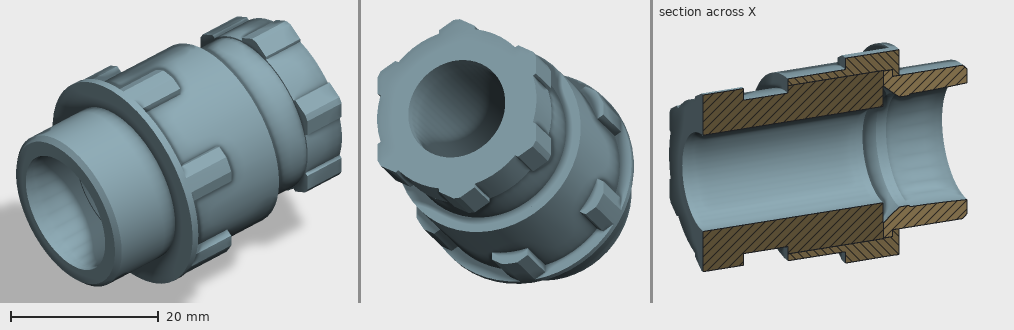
import cadquery as cq
import math

OVERALL_LENGTH = 39.02
NECK_RADIUS = 11.25
THREAD_RADIUS = 12.25
JOINT = 12.4

TAIL_CHAMFER = 0.65
SOCKET_MOUTH_RADIUS = 8.5
SOCKET_END_RADIUS = 8.2
SOCKET_DEPTH = 8.5
STOP_RADIUS = 8.0
STOP_WIDTH = 1.5
FLARE_RADIUS = 10.0

FLANGE_START = SOCKET_DEPTH + STOP_WIDTH
FLANGE_THICKNESS = 1.0
FLANGE_RADIUS = 15.0
BARREL_RADIUS = 13.33
NUT_LENGTH = 16.5
RIB_LENGTH = 7.0

BORE_RADIUS = 7.0
HEAD_LENGTH = 6.0
HEAD_RADIUS = 11.5
TOOTH_TIP_RADIUS = 12.93

RIDGE_COUNT = 6
RIDGE_WIDTH = 5.13
ROOF_ANGLE = 30.0
RIB_APEX = 15.58
TOOTH_APEX = 13.19

nut_shoulder = FLANGE_START + FLANGE_THICKNESS
nut_end = FLANGE_START + NUT_LENGTH
head_start = OVERALL_LENGTH - HEAD_LENGTH


def rod(radius, start, end):
    """Solid cylinder on the Y axis between two Y positions."""
    return cq.Workplane("XZ", origin=(0, start, 0)).circle(radius).extrude(start - end)


def ridges(apex, tip_radius, start, end):
    """Ring of axial ridges, each with a pitched roof whose peak is rounded off at the tip radius."""
    half_width = RIDGE_WIDTH / 2
    eaves = apex - half_width * math.tan(math.radians(ROOF_ANGLE))
    outline = [
        (-half_width, 0),
        (half_width, 0),
        (half_width, eaves),
        (0, apex),
        (-half_width, eaves),
    ]
    ridge = cq.Workplane("XZ", origin=(0, start, 0)).polyline(outline).close().extrude(start - end)
    ring = ridge
    for index in range(1, RIDGE_COUNT):
        ring = ring.union(ridge.rotate((0, 0, 0), (0, 1, 0), index * 360 / RIDGE_COUNT))
    return ring.intersect(rod(tip_radius, start, end))


def make_tail_piece():
    """Chamfered spigot with a stepped bore; its collar bears on the nut's shoulder."""
    wall = [
        (SOCKET_MOUTH_RADIUS, 0),
        (NECK_RADIUS - TAIL_CHAMFER, 0),
        (NECK_RADIUS, TAIL_CHAMFER),
        (NECK_RADIUS, nut_shoulder),
        (THREAD_RADIUS, nut_shoulder),
        (THREAD_RADIUS, JOINT),
        (FLARE_RADIUS, JOINT),
        (STOP_RADIUS, SOCKET_DEPTH + STOP_WIDTH),
        (STOP_RADIUS, SOCKET_DEPTH),
        (SOCKET_END_RADIUS, SOCKET_DEPTH),
    ]
    return cq.Workplane("XY").polyline(wall).close().revolve(360, (0, 0, 0), (0, 1, 0))


def make_union_nut():
    """Flanged, ribbed barrel that holds the tail collar against the threaded piece."""
    nut = rod(BARREL_RADIUS, FLANGE_START, nut_end)
    nut = nut.union(rod(FLANGE_RADIUS, FLANGE_START, nut_shoulder))
    nut = nut.union(ridges(RIB_APEX, FLANGE_RADIUS, nut_shoulder, nut_shoulder + RIB_LENGTH))
    nut = nut.cut(rod(NECK_RADIUS, FLANGE_START, nut_shoulder))
    return nut.cut(rod(THREAD_RADIUS, nut_shoulder, nut_end))


def make_threaded_piece():
    """Bored tube: thread inside the nut, then the neck and the toothed head."""
    piece = rod(THREAD_RADIUS, JOINT, nut_end)
    piece = piece.union(rod(NECK_RADIUS, nut_end, head_start))
    piece = piece.union(rod(HEAD_RADIUS, head_start, OVERALL_LENGTH))
    piece = piece.union(ridges(TOOTH_APEX, TOOTH_TIP_RADIUS, head_start, OVERALL_LENGTH))
    return piece.cut(rod(BORE_RADIUS, JOINT, OVERALL_LENGTH))


tail_piece = make_tail_piece()
union_nut = make_union_nut()
threaded_piece = make_threaded_piece()

result = cq.Compound.makeCompound([tail_piece.val(), union_nut.val(), threaded_piece.val()])